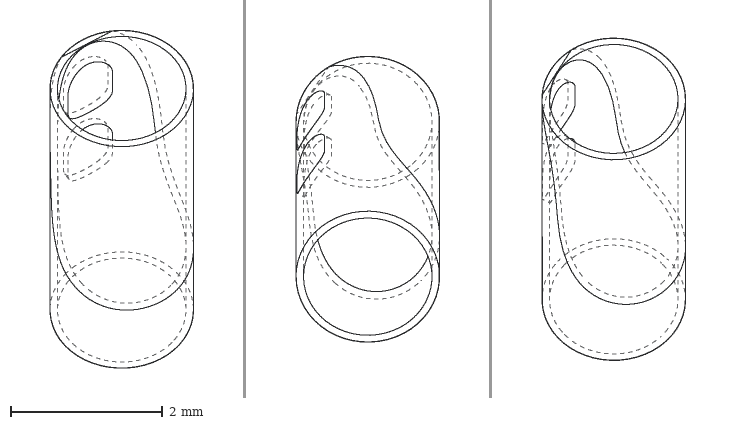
import cadquery as cq

length = 5.0
outer_diameter = 1.9
bore_diameter = 1.7
outer_radius = outer_diameter / 2

seam_top_x = -0.86
seam_end_z = 1.29
seam_points = [
    (seam_top_x, length),
    (-0.68, 4.705),
    (-0.52, 4.205),
    (-0.395, 3.325),
    (-0.275, 2.335),
    (0.04, 1.71),
    (0.38, 1.465),
    (outer_radius, seam_end_z),
]

insert_width = 0.7
insert_height = 1.1
insert_pitch = 1.4
upper_insert_z = 4.0
insert_heights = [upper_insert_z, upper_insert_z - insert_pitch]


def make_tube():
    """Plain round tube along Z."""
    return cq.Workplane("XY").circle(outer_diameter / 2).circle(bore_diameter / 2).extrude(length)


def make_upper_region():
    """Block above the seam, spanning the whole tube along Y."""
    return (
        cq.Workplane("XZ")
        .moveTo(*seam_points[0])
        .spline(seam_points[1:], includeCurrent=True)
        .lineTo(outer_radius, length)
        .close()
        .extrude(outer_radius, both=True)
    )


def make_window_prism(center_z):
    """Upright slot shape running along -X from the tube axis through the wall."""
    return (
        cq.Workplane("YZ")
        .center(0, center_z)
        .slot2D(insert_height, insert_width, 90)
        .extrude(-outer_radius)
    )


def make_upper_sleeve():
    """Part of the tube above the seam."""
    return make_tube().intersect(make_upper_region())


def make_lower_sleeve():
    """Part of the tube below the seam, with its tongue and two windows."""
    sleeve = make_tube().cut(make_upper_region())
    for center_z in insert_heights:
        sleeve = sleeve.cut(make_window_prism(center_z))
    return sleeve


def make_insert(center_z):
    """Insert that fills one window flush with both faces of the wall."""
    return make_tube().intersect(make_window_prism(center_z))


upper_sleeve = make_upper_sleeve()
lower_sleeve = make_lower_sleeve()
inserts = [make_insert(center_z) for center_z in insert_heights]

result = cq.Compound.makeCompound(
    [
        *upper_sleeve.vals(),
        *lower_sleeve.vals(),
        *[insert.val() for insert in inserts],
    ]
)